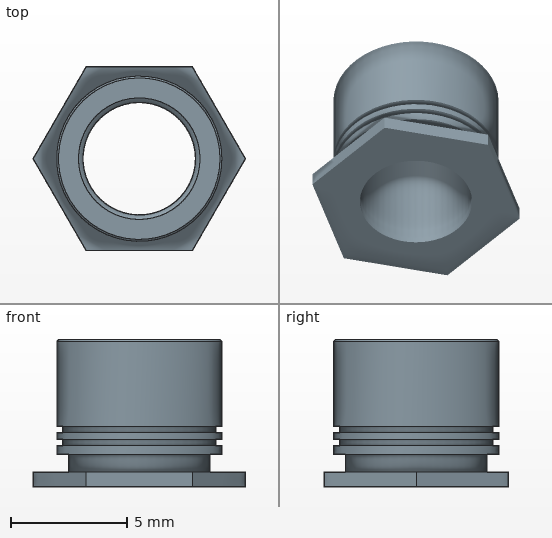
import cadquery as cq
import math

HEX_SIDES = 6
HEX_ACROSS_FLATS = 7.92
FLANGE_THICKNESS = 0.635

TOTAL_HEIGHT = 6.35
BODY_DIAMETER = 7.11
NECK_DIAMETER = 6.096
NECK_TOP = 1.40
TOP_CHAMFER = 0.08

GROOVE_DIAMETER = 6.6
GROOVE_HEIGHT = 0.27
GROOVE_BOTTOMS = (1.78, 2.34)

BORE_DIAMETER = 4.83
BORE_CHAMFER = 0.2


def make_flange():
    """Hexagonal plate with two corners on the X axis."""
    across_corners = HEX_ACROSS_FLATS / math.cos(math.pi / HEX_SIDES)
    return cq.Workplane("XY").polygon(HEX_SIDES, across_corners).extrude(FLANGE_THICKNESS)


def make_neck():
    """Reduced cylinder joining the flange to the body."""
    return cq.Workplane("XY").circle(NECK_DIAMETER / 2).extrude(NECK_TOP)


def make_body():
    """Main cylinder with a small chamfer on its upper rim."""
    body_height = TOTAL_HEIGHT - NECK_TOP
    body = cq.Workplane("XY").workplane(offset=NECK_TOP).circle(BODY_DIAMETER / 2).extrude(body_height)
    return body.faces(">Z").edges().chamfer(TOP_CHAMFER)


def make_groove(bottom):
    """Ring of material to remove for one groove."""
    ring = cq.Workplane("XY").workplane(offset=bottom)
    return ring.circle(BODY_DIAMETER / 2).circle(GROOVE_DIAMETER / 2).extrude(GROOVE_HEIGHT)


def make_bore():
    """Through bore that widens conically at the top."""
    radius = BORE_DIAMETER / 2
    profile = (
        cq.Workplane("XZ")
        .lineTo(radius, 0)
        .lineTo(radius, TOTAL_HEIGHT - BORE_CHAMFER)
        .lineTo(radius + BORE_CHAMFER, TOTAL_HEIGHT)
        .lineTo(0, TOTAL_HEIGHT)
        .close()
    )
    return profile.revolve(360, (0, 0, 0), (0, 1, 0))


body = make_body()
for groove_bottom in GROOVE_BOTTOMS:
    body = body.cut(make_groove(groove_bottom))

result = make_flange().union(make_neck()).union(body).cut(make_bore())